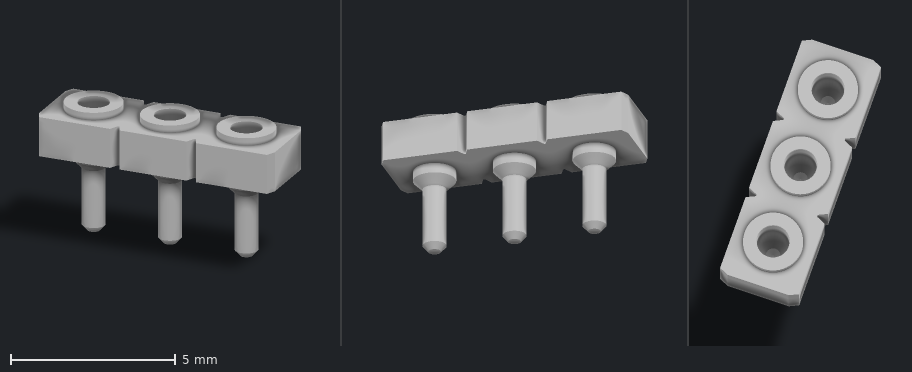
import cadquery as cq

length = 7.85
width = 2.54
housing_height = 1.28
pitch = width
contact_count = 3
corner_run = 0.13
corner_depth = 0.29
notch_floor = 0.055
notch_depth = corner_depth
notch_mouth = notch_floor + 2 * corner_run

overall_height = 4.19
flange_diameter = 1.83
flange_height = 0.24
shoulder_diameter = 1.32
shoulder_drop = 0.315
shaft_diameter = 0.74
shoulder_taper = (shoulder_diameter - shaft_diameter) / 2
tip_diameter = 0.39
tip_height = 0.2

socket_diameter = 1.0
mouth_diameter = 1.03
mouth_bevel = (mouth_diameter - socket_diameter) / 2
socket_depth = 0.57
funnel_diameter = 0.44
funnel_height = 1.02
point_diameter = 0.06
point_height = 0.11

top_z = housing_height + flange_height
bottom_z = top_z - overall_height
contact_places = [(i - (contact_count - 1) / 2) * pitch for i in range(contact_count)]
notch_places = [x + pitch / 2 for x in contact_places[:-1]]


def make_notch(x, side):
    """V groove with a narrow flat bottom, cut into the long face on the given Y side."""
    face_y = side * width / 2
    floor_y = face_y - side * notch_depth
    return (
        cq.Workplane("XY")
        .polyline([
            (x - notch_mouth / 2, face_y),
            (x - notch_floor / 2, floor_y),
            (x + notch_floor / 2, floor_y),
            (x + notch_mouth / 2, face_y),
        ])
        .close()
        .extrude(housing_height)
    )


def make_housing():
    """Bar with bevelled corners, snap-off notches and a bore for each contact."""
    end_x = length / 2
    side_y = width / 2
    bevel_x = end_x - corner_run
    bevel_y = side_y - corner_depth
    body = (
        cq.Workplane("XY")
        .polyline([
            (-bevel_x, -side_y), (bevel_x, -side_y),
            (end_x, -bevel_y), (end_x, bevel_y),
            (bevel_x, side_y), (-bevel_x, side_y),
            (-end_x, bevel_y), (-end_x, -bevel_y),
        ])
        .close()
        .extrude(housing_height)
    )
    for x in notch_places:
        for side in (-1, 1):
            body = body.cut(make_notch(x, side))
    bores = (
        cq.Workplane("XY")
        .pushPoints([(x, 0) for x in contact_places])
        .circle(shoulder_diameter / 2)
        .extrude(housing_height)
    )
    return body.cut(bores)


def make_contact(x):
    """Turned pin with a flange on the housing and a stepped socket in its top."""
    taper_end_z = -shoulder_drop - shoulder_taper
    socket_floor_z = top_z - socket_depth
    funnel_end_z = socket_floor_z - funnel_height
    half_section = [
        (0, bottom_z),
        (tip_diameter / 2, bottom_z),
        (shaft_diameter / 2, bottom_z + tip_height),
        (shaft_diameter / 2, taper_end_z),
        (shoulder_diameter / 2, -shoulder_drop),
        (shoulder_diameter / 2, housing_height),
        (flange_diameter / 2, housing_height),
        (flange_diameter / 2, top_z),
        (mouth_diameter / 2, top_z),
        (socket_diameter / 2, top_z - mouth_bevel),
        (socket_diameter / 2, socket_floor_z),
        (funnel_diameter / 2, funnel_end_z),
        (point_diameter / 2, funnel_end_z - point_height),
        (0, funnel_end_z - point_height),
    ]
    return (
        cq.Workplane("XZ")
        .polyline(half_section)
        .close()
        .revolve(360, (0, 0, 0), (0, 1, 0))
        .translate((x, 0, 0))
    )


housing = make_housing()
contacts = [make_contact(x) for x in contact_places]
result = cq.Compound.makeCompound([housing.val(), *[contact.val() for contact in contacts]])